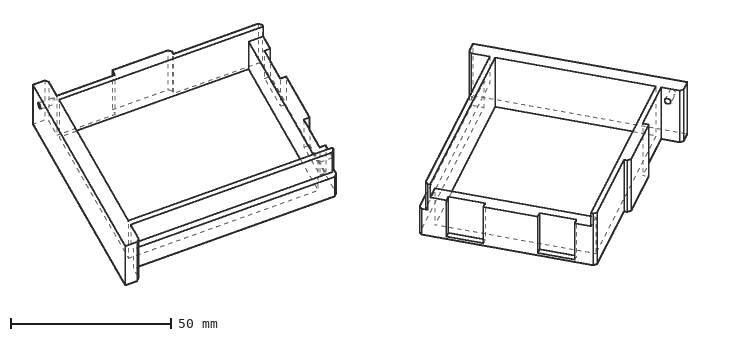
import cadquery as cq

length = 75.0
height = 20.0
panel_width = 70.0
panel_thickness = 5.0
corner_chamfer = 1.0

tray_width = 55.9
side_wall = 1.7
back_wall_thickness = 5.0
back_wall_height = 15.0
floor_thickness = 1.0

guide_width = 2.0
catch_start = 25.0
catch_length = 20.0
rail_height = height / 2

notch_width = 12.0
notch_depth = 2.0
notch_spacing = 29.8

hole_diameter = 2.0
hole_inset = 4.95

tray_length = length - panel_thickness
half_tray = tray_width / 2
inner_width = tray_width - 2 * side_wall


def block(x_start, y_start, width, depth, block_height, base=0.0):
    """Box placed by its lowest X, Y and Z corner."""
    box = cq.Workplane("XY").box(width, depth, block_height, centered=False)
    return box.translate((x_start, y_start, base))


def front_panel():
    panel = block(-panel_width / 2, 0, panel_width, panel_thickness, height)
    panel = panel.edges("|Z and >Y").chamfer(corner_chamfer)
    hole = (
        cq.Workplane("XZ")
        .center(-panel_width / 2 + hole_inset, height - hole_inset)
        .circle(hole_diameter / 2)
        .extrude(-panel_thickness)
    )
    return panel.cut(hole)


def tray():
    body = block(-half_tray, panel_thickness, tray_width, tray_length, height)
    body = body.edges("|Z and >Y").chamfer(corner_chamfer)
    cavity_length = tray_length - back_wall_thickness
    cavity = block(-inner_width / 2, panel_thickness, inner_width, cavity_length, height, floor_thickness)
    back_relief = block(
        -inner_width / 2,
        length - back_wall_thickness,
        inner_width,
        back_wall_thickness,
        height,
        back_wall_height,
    )
    body = body.cut(cavity).cut(back_relief)
    for side in (-1, 1):
        notch_start = side * notch_spacing / 2 - notch_width / 2
        notch = block(notch_start, length - notch_depth, notch_width, notch_depth, height, floor_thickness)
        body = body.cut(notch)
    return body


def side_catch():
    """Short full-height pad on the -X wall."""
    pad = block(-half_tray - guide_width, catch_start, guide_width, catch_length, height)
    return pad.edges("|Z and <X and >Y").chamfer(corner_chamfer)


def side_rail():
    """Low rail along the whole +X wall, set into it so that it fills the wall's rear chamfer."""
    rail_width = guide_width + side_wall
    rail = block(inner_width / 2, panel_thickness, rail_width, tray_length, rail_height)
    return rail.edges("|Z and >X and >Y").chamfer(corner_chamfer)


result = front_panel().union(tray()).union(side_catch()).union(side_rail())